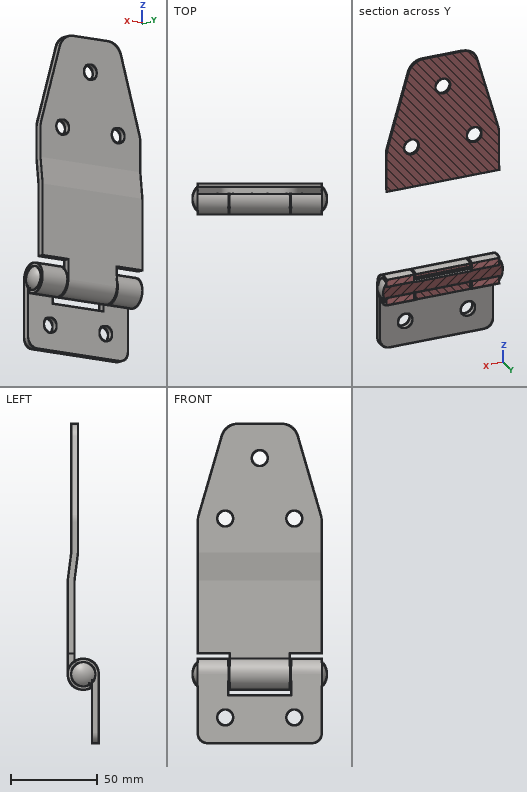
import cadquery as cq
import math

TOTAL_HEIGHT = 185.0
LEAF_WIDTH = 72.0
LEAF_THICKNESS = 4.0
KNUCKLE_DIAMETER = 18.1
AXIS_HEIGHT = 40.0
HOLE_DIAMETER = 9.0
HOLE_SPACING = 40.0

MIDDLE_KNUCKLE_WIDTH = 35.0
SLOT_WIDTH = 36.5
SLOT_REACH = 12.0
CURL_SWEEP = 302.0
OUTER_RADIUS = KNUCKLE_DIAMETER / 2
BORE_RADIUS = OUTER_RADIUS - LEAF_THICKNESS

LOWER_HOLE_HEIGHT = 15.0
LOWER_CORNER_RADIUS = 6.0

UPPER_HOLE_HEIGHT = 130.0
TIP_HOLE_HEIGHT = 165.0
SHOULDER_HEIGHT = UPPER_HOLE_HEIGHT
SHOULDER_RADIUS = 13.9
TIP_WIDTH = 40.0
TIP_CORNER_RADIUS = 10.0
JOG_BOTTOM = 94.2
JOG_TOP = 110.3
JOG_OFFSET = 2.0

PIN_LENGTH = 78.0
PIN_HEAD_DIAMETER = 14.0


def curl_point(radius, degrees):
    """Point (Y, Z) on the lower leaf's curl, counted from its front (-Y) tangent."""
    angle = math.radians(degrees)
    return (-radius * math.cos(angle), AXIS_HEIGHT + radius * math.sin(angle))


def extrude_across(profile, width):
    """Extrude a YZ profile by the given width, centred on X = 0."""
    return profile.extrude(width / 2, both=True)


def knuckle_curl():
    """YZ profile of the rolled ring of the lower leaf, from the front tangent over the top and round."""
    half_sweep = CURL_SWEEP / 2
    return (
        cq.Workplane("YZ")
        .moveTo(*curl_point(OUTER_RADIUS, 0))
        .threePointArc(curl_point(OUTER_RADIUS, half_sweep), curl_point(OUTER_RADIUS, CURL_SWEEP))
        .lineTo(*curl_point(BORE_RADIUS, CURL_SWEEP))
        .threePointArc(curl_point(BORE_RADIUS, half_sweep), curl_point(BORE_RADIUS, 0))
        .close()
    )


def cross_box(width, bottom, top):
    """Block centred on X = 0 that spans the whole hinge depth between two heights."""
    height = top - bottom
    return cq.Workplane("XY").box(width, 2 * KNUCKLE_DIAMETER, height).translate((0, 0, bottom + height / 2))


def screw_holes(places):
    """Cutters along Y at the given (X, Z) places."""
    return (
        cq.Workplane("XZ").pushPoints(places)
        .circle(HOLE_DIAMETER / 2).extrude(KNUCKLE_DIAMETER, both=True)
    )


def make_lower_leaf():
    plate = (
        cq.Workplane("XY")
        .box(LEAF_WIDTH, LEAF_THICKNESS, AXIS_HEIGHT, centered=(True, False, False))
        .translate((0, -OUTER_RADIUS, 0))
        .edges("|Y and <Z").fillet(LOWER_CORNER_RADIUS)
    )
    curl = extrude_across(knuckle_curl(), LEAF_WIDTH)
    slot = cross_box(SLOT_WIDTH, AXIS_HEIGHT - SLOT_REACH, AXIS_HEIGHT + SLOT_REACH)
    holes = screw_holes([(side * HOLE_SPACING / 2, LOWER_HOLE_HEIGHT) for side in (-1, 1)])
    return plate.union(curl).cut(slot).cut(holes)


def upper_outline():
    """Front silhouette of the upper plate, tapered, with rounded shoulders and tip."""
    half_width = LEAF_WIDTH / 2
    half_tip = TIP_WIDTH / 2
    return (
        cq.Workplane("XZ")
        .polyline([
            (-half_width, AXIS_HEIGHT),
            (half_width, AXIS_HEIGHT),
            (half_width, SHOULDER_HEIGHT),
            (half_tip, TOTAL_HEIGHT),
            (-half_tip, TOTAL_HEIGHT),
            (-half_width, SHOULDER_HEIGHT),
        ])
        .close()
        .extrude(KNUCKLE_DIAMETER, both=True)
        .edges("|Y and (not <Z) and (not >Z)").fillet(SHOULDER_RADIUS)
        .edges("|Y and >Z").fillet(TIP_CORNER_RADIUS)
    )


def make_upper_leaf():
    back = OUTER_RADIUS
    front = BORE_RADIUS
    strip_profile = (
        cq.Workplane("YZ")
        .polyline([
            (front, AXIS_HEIGHT),
            (back, AXIS_HEIGHT),
            (back, JOG_BOTTOM),
            (back - JOG_OFFSET, JOG_TOP),
            (back - JOG_OFFSET, TOTAL_HEIGHT),
            (front - JOG_OFFSET, TOTAL_HEIGHT),
            (front - JOG_OFFSET, JOG_TOP),
            (front, JOG_BOTTOM),
        ])
        .close()
    )
    plate = extrude_across(strip_profile, LEAF_WIDTH).intersect(upper_outline())

    notch_top = AXIS_HEIGHT + SLOT_REACH
    side_notches = cross_box(2 * LEAF_WIDTH, 0, notch_top).cut(
        cross_box(MIDDLE_KNUCKLE_WIDTH, 0, notch_top)
    )

    curl = extrude_across(knuckle_curl(), MIDDLE_KNUCKLE_WIDTH).rotate(
        (0, 0, AXIS_HEIGHT), (1, 0, AXIS_HEIGHT), 180
    )
    hole_places = [(side * HOLE_SPACING / 2, UPPER_HOLE_HEIGHT) for side in (-1, 1)]
    hole_places.append((0, TIP_HOLE_HEIGHT))
    return plate.cut(side_notches).union(curl).cut(screw_holes(hole_places))


def make_pin():
    """Shaft filling the bore, with a domed head against each outer knuckle face."""
    face = LEAF_WIDTH / 2
    end = PIN_LENGTH / 2
    head_radius = PIN_HEAD_DIAMETER / 2
    dome_height = end - face
    dome_radius = (head_radius**2 + dome_height**2) / (2 * dome_height)
    dome_centre = end - dome_radius
    half_angle = math.asin(head_radius / dome_radius) / 2
    mid_x = dome_centre + dome_radius * math.cos(half_angle)
    mid_radius = dome_radius * math.sin(half_angle)
    return (
        cq.Workplane("XY")
        .moveTo(-end, 0)
        .threePointArc((-mid_x, mid_radius), (-face, head_radius))
        .lineTo(-face, BORE_RADIUS)
        .lineTo(face, BORE_RADIUS)
        .lineTo(face, head_radius)
        .threePointArc((mid_x, mid_radius), (end, 0))
        .close()
        .revolve(360, (0, 0, 0), (1, 0, 0))
        .translate((0, 0, AXIS_HEIGHT))
    )


lower_leaf = make_lower_leaf()
upper_leaf = make_upper_leaf()
pin = make_pin()

result = cq.Compound.makeCompound([
    lower_leaf.solids().val(),
    upper_leaf.solids().val(),
    pin.val(),
])